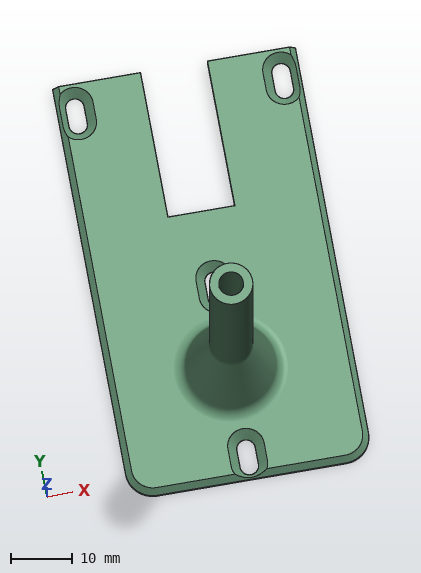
import cadquery as cq

plate_width = 40.0
plate_length = 71.0
plate_thickness = 1.5
corner_radius = 4.5
edge_chamfer = 1.0

notch_width = 11.0
notch_depth = 25.0

slot_width = 3.0
slot_length = 5.95
slot_flare = plate_thickness
rear_slot_x = 17.0
rear_slot_y = 65.95

total_height = 45.5
stem_y = 18.95
stem_diameter = 7.0
bore_diameter = 4.0
foot_diameter = 15.7
foot_top_z = 14.0
blend_radius = 2.0

front_slot_spacing = 15.05
middle_slot_spacing = 14.0
front_slot_y = stem_y - front_slot_spacing
middle_slot_y = stem_y + middle_slot_spacing

slot_centers = [
    (-rear_slot_x, rear_slot_y),
    (rear_slot_x, rear_slot_y),
    (0, middle_slot_y),
    (0, front_slot_y),
]


def make_plate():
    """Plate with rounded front corners, chamfered along the sides and front."""
    plate = (
        cq.Workplane("XY")
        .box(plate_width, plate_length, plate_thickness, centered=(True, False, False))
        .edges("|Z and <Y")
        .fillet(corner_radius)
    )
    plate = plate.faces(">Z").edges("not >Y").chamfer(edge_chamfer)
    notch = (
        cq.Workplane("XY")
        .box(notch_width, notch_depth, plate_thickness, centered=(True, False, False))
        .translate((0, plate_length - notch_depth, 0))
    )
    return plate.cut(notch)


def make_slot_cutter(center):
    """Slot along Y that widens from the underside to the top of the plate."""
    return (
        cq.Workplane("XY")
        .center(*center)
        .slot2D(slot_length, slot_width, 90)
        .workplane(offset=plate_thickness)
        .slot2D(slot_length + 2 * slot_flare, slot_width + 2 * slot_flare, 90)
        .loft(ruled=True)
    )


def add_stem(plate):
    """Add the conical foot and the stem, and blend both junctions."""
    profile = [
        (0, plate_thickness),
        (foot_diameter / 2, plate_thickness),
        (stem_diameter / 2, foot_top_z),
        (stem_diameter / 2, total_height),
        (0, total_height),
    ]
    stem = (
        cq.Workplane("XZ")
        .polyline(profile)
        .close()
        .revolve(360, (0, 0, 0), (0, 1, 0))
        .translate((0, stem_y, 0))
    )
    foot_edge = cq.selectors.RadiusNthSelector(-1)
    stem_end = cq.selectors.BoxSelector(
        (-stem_diameter, stem_y - stem_diameter, foot_top_z - blend_radius),
        (stem_diameter, stem_y + stem_diameter, foot_top_z + blend_radius),
    )
    body = plate.union(stem)
    body = body.edges("%CIRCLE").edges(foot_edge).fillet(blend_radius)
    return body.edges("%CIRCLE").edges(stem_end).fillet(blend_radius)


result = add_stem(make_plate())

for slot_center in slot_centers:
    result = result.cut(make_slot_cutter(slot_center))

bore = cq.Workplane("XY").center(0, stem_y).circle(bore_diameter / 2).extrude(total_height)
result = result.cut(bore)